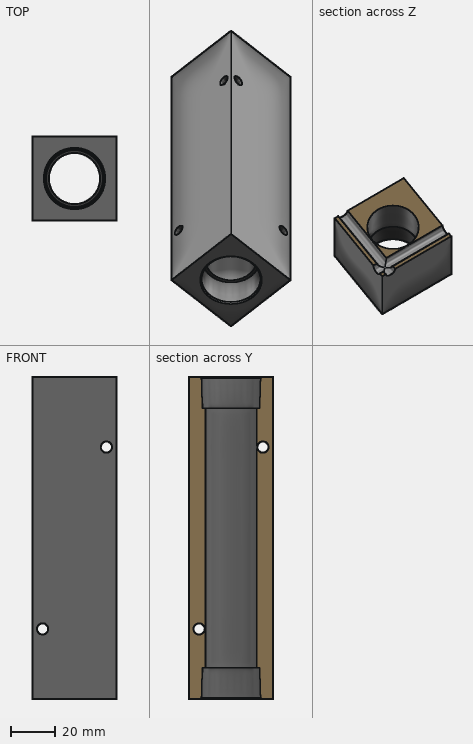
import cadquery as cq

height = 146.0
width = 38.1

bore_diameter = 23.1
socket_diameter = 26.6
mouth_diameter = 27.9
socket_depth = 14.2
socket_taper = 1 / 16
mouth_chamfer = (mouth_diameter - socket_diameter) / 2
socket_floor_diameter = socket_diameter - socket_taper * (socket_depth - mouth_chamfer)

cross_hole_diameter = 5.0
cross_hole_offset = 14.5
cross_hole_height = 41.2


def make_socket():
    """Tapered socket cutter opening at the top face, with a 45 degree mouth."""
    top = height / 2
    profile = [
        (0, top - socket_depth),
        (socket_floor_diameter / 2, top - socket_depth),
        (socket_diameter / 2, top - mouth_chamfer),
        (mouth_diameter / 2, top),
        (0, top),
    ]
    return cq.Workplane("XZ").polyline(profile).close().revolve(360, (0, 0), (0, 1))


def make_cross_holes(plane):
    """Two through holes at diagonally opposite places on a side face."""
    places = [
        (side * cross_hole_offset, side * cross_hole_height)
        for side in (-1, 1)
    ]
    return (
        cq.Workplane(plane)
        .pushPoints(places)
        .circle(cross_hole_diameter / 2)
        .extrude(width, both=True)
    )


block = cq.Workplane("XY").box(width, width, height)
bore = cq.Workplane("XY").circle(bore_diameter / 2).extrude(height, both=True)
top_socket = make_socket()
bottom_socket = top_socket.mirror("XY")

result = block.cut(bore).cut(top_socket).cut(bottom_socket)
for hole_plane in ("XZ", "YZ"):
    result = result.cut(make_cross_holes(hole_plane))